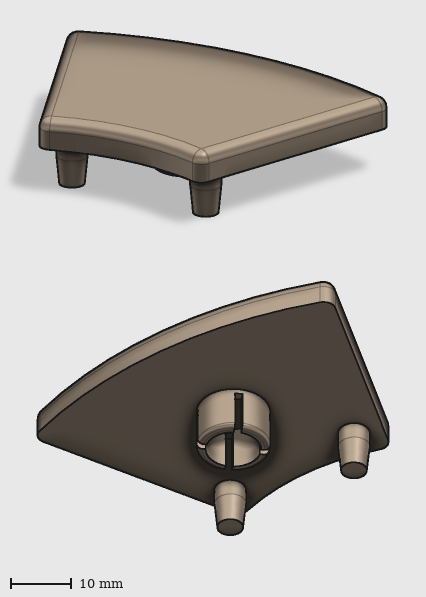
import cadquery as cq
import math

outer_radius = 82.4
inner_radius = 42.25
half_angle = math.radians(22.5)
side_setback = 0.95
plate_thickness = 5.3
edge_radius = 2.0
corner_radius = 2.05

total_height = 13.1
foot_length = total_height - plate_thickness

sleeve_y = 62.35
sleeve_radius = 6.05
sleeve_wall = 1.5
sleeve_rounding = 0.9
slot_width = 1.25
slot_gap = 0.9
slot_angles = (45, 135)

peg_x = 12.65
peg_y = 46.1
peg_radius = 2.61
peg_tip_radius = 2.13
peg_straight_length = 2.9


def side_point(radius):
    """Point where the right-hand straight side meets an arc of this radius."""
    angle = half_angle - math.asin(side_setback / radius)
    return radius * math.sin(angle), radius * math.cos(angle)


def make_plate():
    outer_x, outer_y = side_point(outer_radius)
    inner_x, inner_y = side_point(inner_radius)
    plate = (
        cq.Workplane("XY")
        .moveTo(-inner_x, inner_y)
        .threePointArc((0, inner_radius), (inner_x, inner_y))
        .lineTo(outer_x, outer_y)
        .threePointArc((0, outer_radius), (-outer_x, outer_y))
        .close()
        .extrude(plate_thickness)
    )
    return plate.edges("|Z").fillet(corner_radius).faces(">Z").edges().fillet(edge_radius)


def make_sleeve():
    base = cq.Workplane("XY").center(0, sleeve_y)
    sleeve = base.circle(sleeve_radius).extrude(-foot_length)
    sleeve = sleeve.faces("<Z").edges().fillet(sleeve_rounding)
    sleeve = sleeve.cut(base.circle(sleeve_radius - sleeve_wall).extrude(-foot_length))
    slot_length = 2 * sleeve_radius + sleeve_wall
    for angle in slot_angles:
        slot = (
            cq.Workplane("XY", origin=(0, sleeve_y, -slot_gap))
            .transformed(rotate=(0, 0, angle))
            .rect(slot_length, slot_width)
            .extrude(slot_gap - foot_length)
        )
        sleeve = sleeve.cut(slot)
    return sleeve


def make_peg(x):
    profile = (
        cq.Workplane("XZ")
        .lineTo(peg_radius, 0)
        .lineTo(peg_radius, -peg_straight_length)
        .lineTo(peg_tip_radius, -foot_length)
        .lineTo(0, -foot_length)
        .close()
    )
    return profile.revolve(360, (0, 0), (0, 1)).translate((x, peg_y, 0))


result = make_plate().union(make_sleeve())
for side in (-1, 1):
    result = result.union(make_peg(side * peg_x))